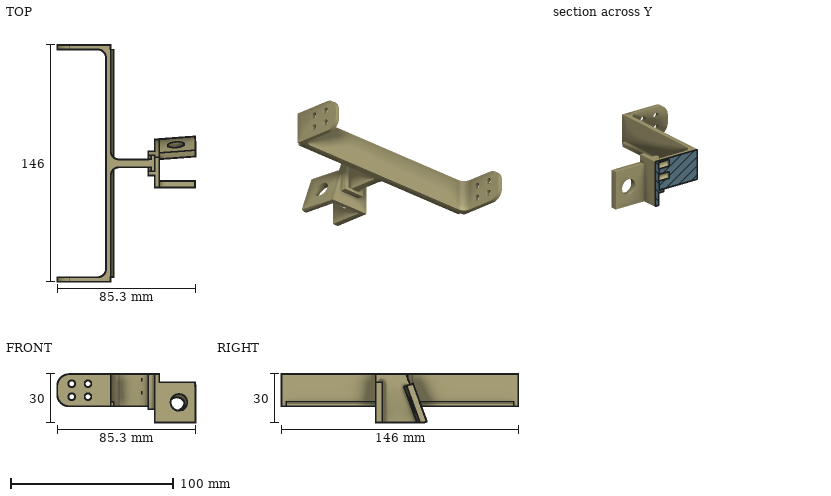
import cadquery as cq
import math

bracket_height = 20.0
bracket_width = 146.0
sheet = 3.0
wall_back = 33.0
bend_radius = 5.0
tab_corner_radius = 7.5
tab_hole_diameter = 4.0
tab_hole_x = (9.0, 19.0)
tab_hole_pitch_z = 8.0

rib_depth = 2.0
rib_height = 3.0
rib_edge_radius = 1.0

tongue_thickness = 5.0
head_width = 10.0
head_thickness = 2.0
plate_front = 60.0
bore_diameter = 4.1
bore_depth = 8.0
bore_z = (8.5, 16.5)

plate_thickness = 3.0
plate_bottom = -10.0
plate_right = -15.0
plate_left = 14.8
lug_size = 25.0
lug_thickness = 4.2
lug_hole_diameter = 10.2
lug_hole_height = 12.6
lug_hole_x = 15.0
lug_tilt = 20.0
lug_yaw = 4.5
tilted_hole_x = 13.2

socket_reach = 4.0
socket_wall = 2.6
socket_floor = 1.8

bracket_side = bracket_width / 2
wall_front = wall_back - sheet


def box(x_range, y_range, z_range):
    """Block spanning the three given (low, high) ranges."""
    size = [high - low for low, high in (x_range, y_range, z_range)]
    corner = (x_range[0], y_range[0], z_range[0])
    return cq.Workplane("XY").box(*size, centered=False).translate(corner)


def make_u_frame():
    """Wall with a tab at each end, filleted inside the bends."""
    outer = box((0, wall_back), (-bracket_side, bracket_side), (0, bracket_height))
    inner_side = bracket_side - sheet
    opening = box((-bend_radius, wall_front), (-inner_side, inner_side), (0, bracket_height))
    opening = opening.edges("|Z and >X").fillet(bend_radius)
    frame = outer.cut(opening)
    return frame.edges("|Y and <X").fillet(tab_corner_radius)


def make_tab_holes():
    """Four holes through each tab, drilled right across the bracket."""
    middle = bracket_height / 2
    points = [
        (x, middle + side * tab_hole_pitch_z / 2)
        for x in tab_hole_x
        for side in (-1, 1)
    ]
    holes = cq.Workplane("XZ").pushPoints(points).circle(tab_hole_diameter / 2)
    return holes.extrude(bracket_side, both=True)


def make_rib():
    """Rib along the foot of the wall's back, rounded on its upper edge."""
    rib_side = bracket_side - sheet
    rib = box((wall_front, wall_back + rib_depth), (-rib_side, rib_side), (0, rib_height))
    return rib.edges("|Y and >X and >Z").fillet(rib_edge_radius)


def make_tongue():
    """T-shaped tongue with a filleted root, ending in the head."""
    half = tongue_thickness / 2
    root = half + bend_radius
    root_end = wall_back + bend_radius
    head_front = plate_front - head_thickness
    return (
        cq.Workplane("XY")
        .moveTo(wall_back, -root)
        .radiusArc((root_end, -half), bend_radius)
        .lineTo(head_front, -half)
        .lineTo(head_front, -head_width / 2)
        .lineTo(plate_front, -head_width / 2)
        .lineTo(plate_front, head_width / 2)
        .lineTo(head_front, head_width / 2)
        .lineTo(head_front, half)
        .lineTo(root_end, half)
        .radiusArc((wall_back, root), bend_radius)
        .close()
        .extrude(bracket_height)
    )


def make_bores():
    """Blind bores running back along the tongue from its end face."""
    points = [(0, z) for z in bore_z]
    bores = cq.Workplane("YZ", origin=(plate_front, 0, 0)).pushPoints(points)
    return bores.circle(bore_diameter / 2).extrude(-bore_depth)


def make_bracket():
    """U frame with rib and tongue, drilled."""
    bracket = make_u_frame().cut(make_tab_holes())
    bracket = bracket.union(make_rib()).union(make_tongue())
    return bracket.cut(make_bores())


def make_leaning_profile(x_start, depth):
    """Block with the plate's outline: square at -Y, leaning at the tilt angle at +Y."""
    rise = bracket_height - plate_bottom
    plate_left_top = plate_left - rise * math.tan(math.radians(lug_tilt))
    outline = [
        (plate_right, plate_bottom),
        (plate_left, plate_bottom),
        (plate_left_top, bracket_height),
        (plate_right, bracket_height),
    ]
    profile = cq.Workplane("YZ", origin=(x_start, 0, 0)).polyline(outline).close()
    return profile.extrude(depth)


def make_socket():
    """Two arms and a floor that hold the tongue head, trimmed to the plate's leaning end."""
    side = head_width / 2 + socket_wall
    reach = (plate_front - socket_reach, plate_front)
    block = box(reach, (-side, side), (-socket_floor, bracket_height))
    slot = box(reach, (-head_width / 2, head_width / 2), (0, bracket_height))
    trim = make_leaning_profile(plate_front - socket_reach, socket_reach)
    return block.cut(slot).intersect(trim)


def make_lug(hole_x):
    """Drilled lug with its +Y bottom corner at the origin, thick toward -Y."""
    lug = box((0, lug_size), (-lug_thickness, 0), (0, lug_size))
    hole = cq.Workplane("XZ").center(hole_x, lug_hole_height).circle(lug_hole_diameter / 2)
    return lug.cut(hole.extrude(lug_thickness))


def make_straight_lug():
    """Lug flush with the plate's -Y end."""
    lug = make_lug(lug_hole_x)
    return lug.translate((plate_front, plate_right + lug_thickness, plate_bottom))


def make_tilted_lug():
    """Lug swung outward and leaned along the plate's +Y end, cut level below and flush at the plate."""
    lug = make_lug(tilted_hole_x)
    lug = lug.rotate((0, 0, 0), (0, 0, 1), lug_yaw)
    lug = lug.rotate((0, 0, 0), (1, 0, 0), lug_tilt)
    lug = lug.translate((plate_front, plate_left, plate_bottom))
    keep = box(
        (plate_front + plate_thickness, plate_front + lug_size + lug_thickness),
        (-bracket_side, bracket_side),
        (plate_bottom, bracket_height),
    )
    return lug.intersect(keep)


def make_clevis():
    """Plate with the socket on its front and both lugs on its back."""
    clevis = make_leaning_profile(plate_front, plate_thickness).union(make_socket())
    return clevis.union(make_straight_lug()).union(make_tilted_lug())


bracket = make_bracket()
clevis = make_clevis()

result = cq.Compound.makeCompound([bracket.val(), clevis.val()])